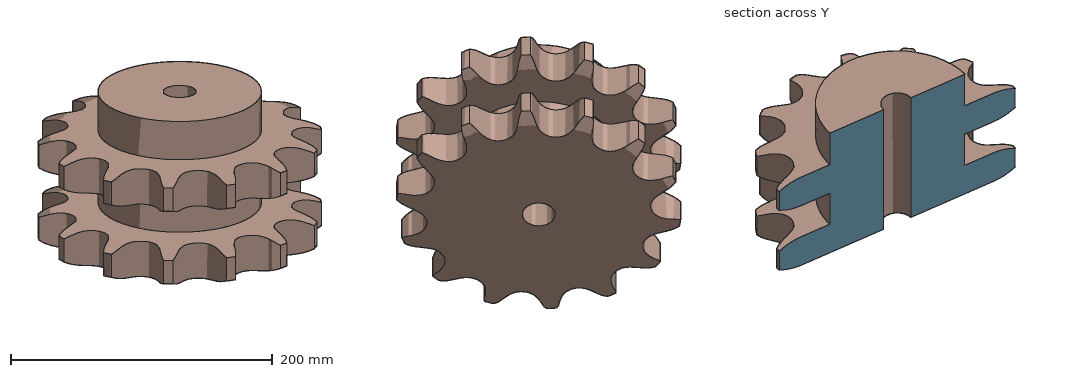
import cadquery as cq
import math

tooth_count = 14
tip_diameter = 218.2
pitch_diameter = 199.9
roller_diameter = 28.0
hub_diameter = 125.0
bore_diameter = 25.0
total_height = 120.0
strand_thickness = 29.0
strand_spacing = 59.5

face_edge_diameter = 177.5
tip_thickness = 19.0

tip_radius = tip_diameter / 2
pitch_radius = pitch_diameter / 2
strand_bottoms = [0, strand_spacing]

seat_radius = 1.005 * roller_diameter / 2
seat_angle = math.radians(35 + 60 / tooth_count)
working_angle = math.radians(18 - 56 / tooth_count)
topping_angle = math.radians(17 - 64 / tooth_count)
working_offset = 0.8 * roller_diameter
topping_offset = 1.4 * roller_diameter
working_radius = working_offset + seat_radius
flat_length = topping_offset * math.sin(topping_angle) - working_offset * math.sin(working_angle)
topping_radius = (working_offset * math.cos(working_angle)
                  + topping_offset * math.cos(topping_angle) - working_radius)

gap_overrun = 2.2


def polar(center, radius, angle):
    return (center[0] + radius * math.cos(angle), center[1] + radius * math.sin(angle))


def mirrored(point):
    return (-point[0], point[1])


def gap_profile():
    """Space between two teeth, centred on the +Y axis."""
    roller_center = (0, pitch_radius)
    flat_angle = seat_angle - working_angle
    seat_bottom = (0, pitch_radius - seat_radius)

    seat_end = polar(roller_center, seat_radius, -seat_angle)
    working_center = polar(roller_center, working_offset, math.pi - seat_angle)
    working_middle = polar(working_center, working_radius, -seat_angle + working_angle / 2)
    working_end = polar(working_center, working_radius, -flat_angle)
    flat_end = polar(working_end, flat_length, math.pi / 2 - flat_angle)

    topping_center = polar(flat_end, topping_radius, -flat_angle)
    center_distance = math.hypot(*topping_center)
    center_angle = math.atan2(topping_center[1], topping_center[0])
    cosine = (tip_radius**2 + center_distance**2 - topping_radius**2) / (2 * tip_radius * center_distance)
    tip_angle = center_angle + math.acos(cosine)
    tip = polar((0, 0), tip_radius, tip_angle)
    start_angle = math.pi - flat_angle
    end_angle = math.atan2(tip[1] - topping_center[1], tip[0] - topping_center[0])
    topping_middle = polar(topping_center, topping_radius, (start_angle + end_angle) / 2)
    outer_corner = polar((0, 0), tip_radius + gap_overrun, tip_angle)

    return (
        cq.Workplane("XY")
        .moveTo(*outer_corner)
        .lineTo(*tip)
        .threePointArc(topping_middle, flat_end)
        .lineTo(*working_end)
        .threePointArc(working_middle, seat_end)
        .threePointArc(seat_bottom, mirrored(seat_end))
        .threePointArc(mirrored(working_middle), mirrored(working_end))
        .lineTo(*mirrored(flat_end))
        .threePointArc(mirrored(topping_middle), mirrored(tip))
        .lineTo(*mirrored(outer_corner))
        .threePointArc((0, tip_radius + gap_overrun), outer_corner)
        .close()
    )


def strand_blank():
    """Disc whose two faces bend toward each other in arcs tangent to the flats."""
    edge_radius = face_edge_diameter / 2
    run = tip_radius - edge_radius
    drop = (strand_thickness - tip_thickness) / 2
    face_radius = (run**2 + drop**2) / (2 * drop)
    half_sweep = math.asin(run / face_radius) / 2
    middle_radius = edge_radius + face_radius * math.sin(half_sweep)
    middle_drop = face_radius * (1 - math.cos(half_sweep))
    return (
        cq.Workplane("XZ")
        .lineTo(edge_radius, 0)
        .threePointArc((middle_radius, middle_drop), (tip_radius, drop))
        .lineTo(tip_radius, strand_thickness - drop)
        .threePointArc((middle_radius, strand_thickness - middle_drop), (edge_radius, strand_thickness))
        .lineTo(0, strand_thickness)
        .close()
        .revolve(360, (0, 0, 0), (0, 1, 0))
    )


def toothed_strand():
    strand = strand_blank()
    gap = gap_profile().extrude(strand_thickness)
    for index in range(tooth_count):
        strand = strand.cut(gap.rotate((0, 0, 0), (0, 0, 1), index * 360 / tooth_count))
    return strand


sprocket = cq.Workplane("XY").circle(hub_diameter / 2).extrude(total_height)
strand = toothed_strand()
for bottom in strand_bottoms:
    sprocket = sprocket.union(strand.translate((0, 0, bottom)))

bore = cq.Workplane("XY").circle(bore_diameter / 2).extrude(total_height)
result = sprocket.cut(bore)